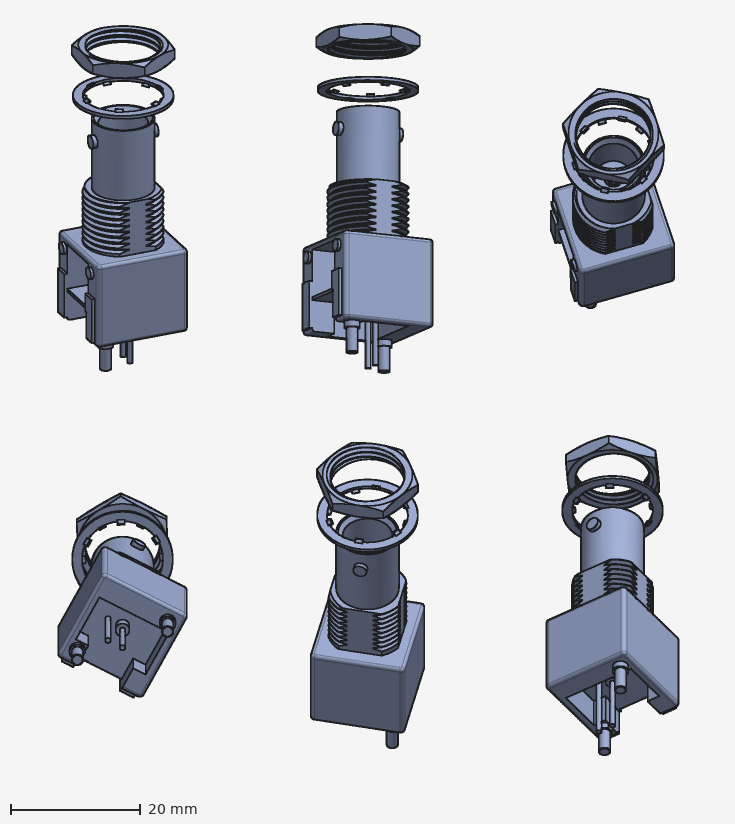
import cadquery as cq
import math


HOUSING_X = 14.85
HOUSING_Y = 15.4
HOUSING_Z = 13.85
HOUSING_ROUND = 0.55
HOUSING_CORNER_ROUND = 0.7
FRONT_Y = -HOUSING_Y / 2
FRONT_RELIEF = 0.5

POCKET_HALF_X = 3.9
POCKET_TOP_Z = 12.9
POCKET_BACK_Y = -2.1
COLUMN_RADIUS = 0.9
SHELF_TOP_Z = 5.4
SHELF_BOTTOM_Z = 4.9
CAVITY_HALF_X = 6.1
CAVITY_HALF_Y = 3.85
FLARE = 0.345

PAD_WIDTH = 2.4
PAD_BOTTOM_Z = HOUSING_ROUND
PAD_TOP_Z = 7.95
BUTTON_RADIUS = 0.95
BUTTON_Z = 11.85

FOOT_X = 5.1
FOOT_Y = 5.3
FOOT_RADIUS = 0.9
FOOT_LENGTH = 4.9
FOOT_CHAMFER = 0.1
FLANGE_RADIUS = 1.2
FLANGE_HEIGHT = 1.0
PIN_RADIUS = 0.4
PIN_LENGTH = 5.85
SECOND_PIN_X = 2.55
COLLAR_RADIUS = 1.05
COLLAR_BOTTOM_Z = 2.95

THREAD_RADIUS = 6.3
THREAD_ROOT_RADIUS = 5.685
THREAD_PITCH = 1.0
THREAD_START_Z = 14.36
NECK_TOP_Z = 22.8
NECK_SIDE_FLAT = 5.5
NECK_BACK_FLAT = 5.3
GROOVE_ROOT_WIDTH = 0.15
FLANK_ANGLE = math.radians(30)
GROOVE_OVERRUN = 0.05

BARREL_RADIUS = 4.85
BARREL_TOP_Z = 34.6
STUD_RADIUS = 1.05
STUD_Z = 31.55
STUD_REACH = 5.55
MOUTH_RADIUS = 4.55
SOCKET_RADIUS = 3.85
MOUTH_DEPTH = 0.75
SOCKET_FLOOR_Z = NECK_TOP_Z
DIELECTRIC_RADIUS = 2.95
DIELECTRIC_TOP_Z = 29.1
CONTACT_WELL_RADIUS = 1.4
CONTACT_RADIUS = 0.75
CONTACT_BORE_RADIUS = 0.5
CONTACT_TOP_Z = 28.05

WASHER_BOTTOM_Z = 38.0
WASHER_THICKNESS = 0.55
WASHER_RADIUS = 7.8
WASHER_BORE_RADIUS = 6.25
TOOTH_COUNT = 12
TOOTH_WIDTH = 1.15
TOOTH_TIP_RADIUS = 5.7
TOOTH_RISE = 0.3
TOOTH_THICKNESS = 0.25

NUT_TOP_Z = 47.05
NUT_HEIGHT = 2.5
NUT_CORNERS = 16.05
NUT_FLATS = NUT_CORNERS * math.cos(math.radians(30))
NUT_CHAMFER_ANGLE = math.radians(25)
NUT_BORE_RADIUS = 5.75


def cylinder(radius, bottom_z, top_z, x=0, y=0):
    disc = cq.Workplane("XY", origin=(x, y, bottom_z)).circle(radius)
    return disc.extrude(top_z - bottom_z)


def block(x0, x1, y0, y1, z0, z1):
    return cq.Workplane("XY").box(x1 - x0, y1 - y0, z1 - z0, centered=False).translate((x0, y0, z0))


def rod_along_y(radius, x, z, y0, y1):
    return cq.Workplane("XZ", origin=(x, y0, z)).circle(radius).extrude(y0 - y1)


def helical_groove(root_radius, mouth_radius, start_z, turns):
    """V-shaped right-hand groove that starts on the +X side at start_z."""
    depth = abs(mouth_radius - root_radius)
    root_half = GROOVE_ROOT_WIDTH / 2
    mouth_half = root_half + depth * math.tan(FLANK_ANGLE)
    path = cq.Wire.makeHelix(THREAD_PITCH, turns * THREAD_PITCH, root_radius)
    profile = cq.Workplane("XZ").polyline([
        (root_radius, -root_half),
        (mouth_radius, -mouth_half),
        (mouth_radius, mouth_half),
        (root_radius, root_half),
    ]).close()
    groove = profile.sweep(cq.Workplane(path), isFrenet=True)
    return groove.translate((0, 0, start_z))


def make_shell():
    shell = cq.Workplane("XY").box(HOUSING_X, HOUSING_Y, HOUSING_Z, centered=(True, True, False))
    shell = shell.edges("|Z").fillet(HOUSING_CORNER_ROUND)
    shell = shell.faces("<Z or >Z").edges().fillet(HOUSING_ROUND)
    relief_y = FRONT_Y - FRONT_RELIEF
    for side in (-1, 1):
        pad_x = side * (POCKET_HALF_X + PAD_WIDTH / 2)
        pad = block(pad_x - PAD_WIDTH / 2, pad_x + PAD_WIDTH / 2, relief_y, FRONT_Y + HOUSING_ROUND,
                    PAD_BOTTOM_Z, PAD_TOP_Z)
        button = rod_along_y(BUTTON_RADIUS, side * FOOT_X, BUTTON_Z, relief_y, FRONT_Y + HOUSING_ROUND)
        shell = shell.union(pad).union(button)
    return shell


def add_feet(body):
    """Two feet at diagonally opposite corners: front +X and back -X."""
    for x, y in ((FOOT_X, -FOOT_Y), (-FOOT_X, FOOT_Y)):
        foot = cylinder(FOOT_RADIUS, -FOOT_LENGTH, HOUSING_ROUND, x, y)
        foot = foot.faces("<Z").chamfer(FOOT_CHAMFER)
        flange = cylinder(FLANGE_RADIUS, -FLANGE_HEIGHT, HOUSING_ROUND, x, y)
        body = body.union(foot).union(flange)
    return body


def cut_front_openings(body):
    """Pocket above the shelf and open cavity below it."""
    open_y = FRONT_Y - FRONT_RELIEF
    pocket = block(-POCKET_HALF_X, POCKET_HALF_X, open_y, POCKET_BACK_Y, SHELF_TOP_Z, POCKET_TOP_Z)
    column = cylinder(COLUMN_RADIUS, SHELF_TOP_Z, POCKET_TOP_Z, 0, POCKET_BACK_Y)
    entry = block(-POCKET_HALF_X, POCKET_HALF_X, open_y, CAVITY_HALF_Y, 0, SHELF_BOTTOM_Z)
    cavity = block(-CAVITY_HALF_X, CAVITY_HALF_X, -CAVITY_HALF_Y, CAVITY_HALF_Y, 0, SHELF_BOTTOM_Z)
    flare = (
        cq.Workplane("XY", origin=(0, 0, -FLANGE_HEIGHT))
        .polyline([
            (0, open_y),
            (POCKET_HALF_X + FLARE, open_y),
            (POCKET_HALF_X, -CAVITY_HALF_Y),
            (0, -CAVITY_HALF_Y),
        ])
        .close()
        .extrude(FLANGE_HEIGHT + SHELF_BOTTOM_Z)
    )
    return body.cut(pocket.cut(column)).cut(entry).cut(cavity).cut(flare)


def add_pins(body):
    collar = cylinder(COLLAR_RADIUS, COLLAR_BOTTOM_Z, SHELF_TOP_Z)
    body = body.union(collar)
    for x in (0, SECOND_PIN_X):
        body = body.union(cylinder(PIN_RADIUS, -PIN_LENGTH, SHELF_TOP_Z, x))
    return body


def make_neck():
    """Threaded neck, cut from a longer blank so that the groove runs out past the top."""
    turns = math.ceil((NECK_TOP_Z - THREAD_START_Z) / THREAD_PITCH) + 1
    blank_top_z = THREAD_START_Z + (turns + 1) * THREAD_PITCH
    blank = cylinder(THREAD_RADIUS, HOUSING_Z - THREAD_PITCH, blank_top_z)
    groove = helical_groove(THREAD_ROOT_RADIUS, THREAD_RADIUS + GROOVE_OVERRUN, THREAD_START_Z, turns)
    neck = blank.cut(groove.rotate((0, 0, 0), (0, 0, 1), 180))
    flats = block(-NECK_SIDE_FLAT, NECK_SIDE_FLAT, -2 * THREAD_RADIUS, NECK_BACK_FLAT,
                  HOUSING_Z, NECK_TOP_Z)
    return neck.intersect(flats)


def make_barrel():
    barrel = cylinder(BARREL_RADIUS, HOUSING_Z, BARREL_TOP_Z)
    studs = rod_along_y(STUD_RADIUS, 0, STUD_Z, -STUD_REACH, STUD_REACH)
    return barrel.union(studs)


def make_socket():
    """Space inside the barrel: tapered mouth and bore, less the dielectric and the contact."""
    space = (
        cq.Workplane("XZ")
        .polyline([
            (0, SOCKET_FLOOR_Z),
            (SOCKET_RADIUS, SOCKET_FLOOR_Z),
            (SOCKET_RADIUS, BARREL_TOP_Z - MOUTH_DEPTH),
            (MOUTH_RADIUS, BARREL_TOP_Z),
            (0, BARREL_TOP_Z),
        ])
        .close()
        .revolve(360, (0, 0, 0), (0, 1, 0))
    )
    dielectric = cylinder(DIELECTRIC_RADIUS, SOCKET_FLOOR_Z, DIELECTRIC_TOP_Z)
    dielectric = dielectric.cut(cylinder(CONTACT_WELL_RADIUS, SOCKET_FLOOR_Z, DIELECTRIC_TOP_Z))
    contact = cylinder(CONTACT_RADIUS, SOCKET_FLOOR_Z, CONTACT_TOP_Z)
    contact = contact.cut(cylinder(CONTACT_BORE_RADIUS, SOCKET_FLOOR_Z, CONTACT_TOP_Z))
    return space.cut(dielectric).cut(contact)


def make_connector():
    body = add_feet(make_shell())
    body = add_pins(cut_front_openings(body))
    return body.union(make_neck()).union(make_barrel()).cut(make_socket())


def make_tooth(direction):
    """Tooth on the +X side of a washer centred on Z = 0, bent up (+1) or down (-1)."""
    root_radius = WASHER_BORE_RADIUS + TOOTH_THICKNESS
    face_z = WASHER_THICKNESS / 2
    tip_z = face_z + TOOTH_RISE
    outline = [
        (root_radius, face_z - TOOTH_THICKNESS),
        (root_radius, face_z),
        (TOOTH_TIP_RADIUS + TOOTH_THICKNESS, tip_z),
        (TOOTH_TIP_RADIUS, tip_z - TOOTH_THICKNESS / 2),
    ]
    points = [(r, direction * z) for r, z in outline]
    return cq.Workplane("XZ").polyline(points).close().extrude(TOOTH_WIDTH / 2, both=True)


def make_washer():
    half = WASHER_THICKNESS / 2
    washer = cylinder(WASHER_RADIUS, -half, half).cut(cylinder(WASHER_BORE_RADIUS, -half, half))
    for i in range(TOOTH_COUNT):
        direction = -1 if i % 2 == 0 else 1
        tooth = make_tooth(direction).rotate((0, 0, 0), (0, 0, 1), i * 360 / TOOTH_COUNT)
        washer = washer.union(tooth)
    return washer.translate((0, 0, WASHER_BOTTOM_Z + half))


def make_nut():
    """Hex nut, cut from a longer threaded sleeve so that the thread runs out at both faces."""
    bottom_z = NUT_TOP_Z - NUT_HEIGHT
    hexagon = cq.Workplane("XY", origin=(0, 0, bottom_z)).polygon(6, NUT_CORNERS).extrude(NUT_HEIGHT)
    corner_drop = (NUT_CORNERS - NUT_FLATS) / 2 * math.tan(NUT_CHAMFER_ANGLE)
    chamfered = (
        cq.Workplane("XZ")
        .polyline([
            (0, bottom_z),
            (NUT_FLATS / 2, bottom_z),
            (NUT_CORNERS / 2, bottom_z + corner_drop),
            (NUT_CORNERS / 2, NUT_TOP_Z - corner_drop),
            (NUT_FLATS / 2, NUT_TOP_Z),
            (0, NUT_TOP_Z),
        ])
        .close()
        .revolve(360, (0, 0, 0), (0, 1, 0))
    )
    turns = math.ceil(NUT_HEIGHT / THREAD_PITCH) + 2
    start_z = NUT_TOP_Z - (turns - 1) * THREAD_PITCH
    sleeve_bottom_z = start_z - THREAD_PITCH
    sleeve_top_z = NUT_TOP_Z + 2 * THREAD_PITCH
    sleeve = cylinder(NUT_CORNERS, sleeve_bottom_z, sleeve_top_z)
    sleeve = sleeve.cut(cylinder(NUT_BORE_RADIUS, sleeve_bottom_z, sleeve_top_z))
    sleeve = sleeve.cut(helical_groove(THREAD_RADIUS, NUT_BORE_RADIUS - GROOVE_OVERRUN, start_z, turns))
    return sleeve.intersect(hexagon.intersect(chamfered))


connector = make_connector()
washer = make_washer()
nut = make_nut()
result = cq.Compound.makeCompound([connector.val(), washer.val(), nut.val()])